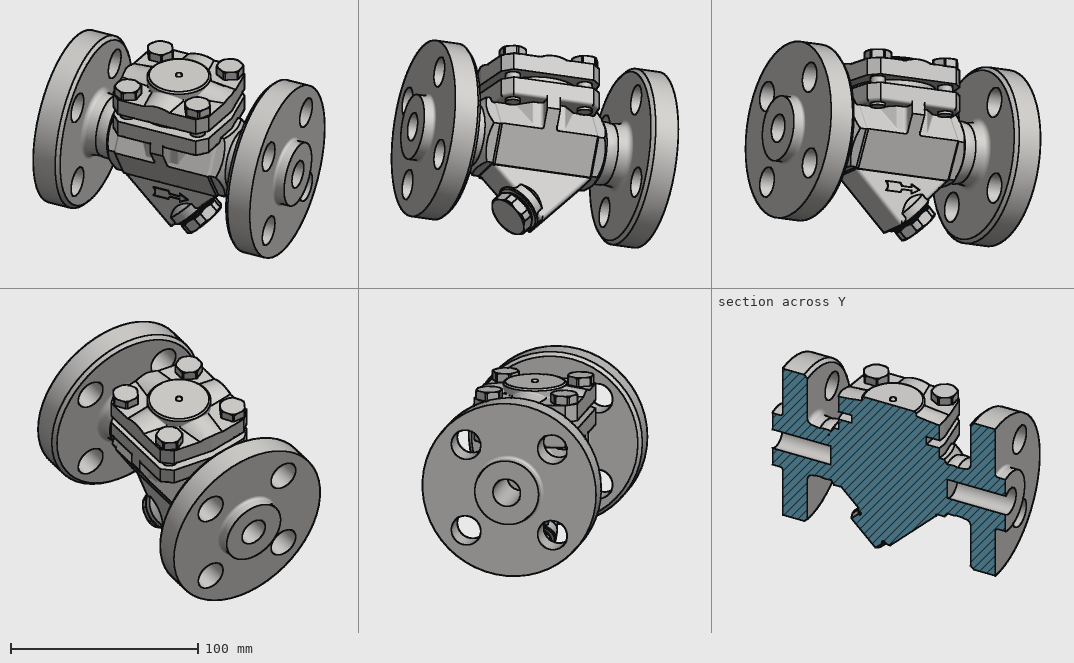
import cadquery as cq
import math


length = 140.0
flange_d = 95.0
flange_back_x = 48.8
flange_front_x = 63.8
flange_chamfer = 2.0
raised_face_d = 34.9
raised_face_fillet = 1.6
bore_d = 15.0
bore_depth = 35.0
flange_hole_d = 16.0
flange_hole_pitch = 47.2

neck_r = 17.0
neck_fillet = 3.0
neck_groove_x = 41.4
neck_groove_r = 16.4
neck_weld_x = 38.3

hex_end_x = 34.9
hex_flats = 37.0
hex_end_r = 16.5
hex_bevel_x = 31.7
centre_x = 28.2
centre_flats = 38.8
centre_chamfer = 0.9

wedge_half_y = 10.4
wedge_inlet_reach = 47.8
wedge_drain_reach = 47.1
wedge_depth = 47.0
wedge_fillet = 2.0

plug_offset = -20.2
boss_d = 27.0
boss_cone_start = 23.0
boss_start = 28.7
boss_end = 34.4
boss_chamfer = 0.7
plug_head_start = 35.7
plug_head_end = 42.04
plug_neck_d = 21.0
plug_head_flats = 22.6
plug_head_d = 24.0
plug_head_chamfer = 0.7

plate_half_x = 31.0
plate_end_x = 28.1
plate_half_y = 28.2
corner_cut_x = 22.9
corner_cut_y = 22.7
seat_bottom_z = 15.1
seat_top_z = 24.9
cover_bottom_z = 29.5
cover_top_z = 38.7
seat_fillet = 1.6
gasket_d = 45.8

ridge_inner_r = 12.0
ridge_inner_half_width = 9.8
ridge_inner_height = 4.0
ridge_outer_r = 32.0
ridge_outer_half_width = 7.0
ridge_outer_height = 1.1
ridge_root = 1.0
cap_d = 34.0
cap_top_z = 43.9
cap_chamfer = 1.0
cap_base_fillet = 0.6
knob_d = 3.4
knob_height = 1.0
knob_fillet = 0.9

bolt_d = 8.0
bolt_pitch_half = 20.5
bolt_head_flats = 13.0
bolt_head_d = 14.5
bolt_head_top_z = 43.5
bolt_head_chamfer = 0.5
bolt_tip_z = 13.6

rib_half_width = 3.7
rib_fillet = 1.9
web_half_x = 9.2
web_half_y = 21.2
web_top_z = 18.0
web_corner_fillet = 1.2
web_base_fillet = 1.2

arrow_tail_x = -10.2
arrow_notch_x = -9.0
arrow_shaft_x = -1.3
arrow_step_x = -0.4
arrow_head_x = 5.4
arrow_tip_x = 10.2
arrow_z = -26.5
arrow_half_height = 2.6
arrow_shaft_half_height = 0.9
arrow_height = 0.5

SQRT3 = math.sqrt(3)
SELECT_MARGIN = 0.1


def across_corners(flats):
    return 2 * flats / SQRT3


def hex_bar(flats, half_length):
    """Hexagonal bar along X with corners on +Y and -Y."""
    return (
        cq.Workplane("YZ", origin=(-half_length, 0, 0))
        .polygon(6, across_corners(flats))
        .extrude(2 * half_length)
    )


def flange_and_neck():
    """Flange, raised face and neck on the +X side, turned about X."""
    raised_r = raised_face_d / 2
    flange_r = flange_d / 2
    neck_start_x = flange_back_x - neck_fillet
    bulge = 1 - math.sqrt(0.5)
    profile = (
        cq.Workplane("XY")
        .moveTo(0, 0)
        .lineTo(0, hex_end_r)
        .lineTo(hex_end_x, hex_end_r)
        .threePointArc((neck_weld_x, neck_r), (neck_groove_x, neck_groove_r))
        .lineTo(neck_start_x, neck_r)
        .threePointArc(
            (flange_back_x - neck_fillet * bulge, neck_r + neck_fillet * bulge),
            (flange_back_x, neck_r + neck_fillet),
        )
        .lineTo(flange_back_x, flange_r - flange_chamfer)
        .lineTo(flange_back_x + flange_chamfer, flange_r)
        .lineTo(flange_front_x, flange_r)
        .lineTo(flange_front_x, raised_r + raised_face_fillet)
        .threePointArc(
            (flange_front_x + raised_face_fillet * bulge, raised_r + raised_face_fillet * bulge),
            (flange_front_x + raised_face_fillet, raised_r),
        )
        .lineTo(length / 2, raised_r)
        .lineTo(length / 2, 0)
        .close()
    )
    end = profile.revolve(360, (0, 0, 0), (1, 0, 0))
    holes = (
        cq.Workplane("YZ", origin=(flange_back_x, 0, 0))
        .rect(flange_hole_pitch, flange_hole_pitch, forConstruction=True)
        .vertices()
        .circle(flange_hole_d / 2)
        .extrude(length)
    )
    bore = (
        cq.Workplane("YZ", origin=(length / 2 - bore_depth, 0, 0))
        .circle(bore_d / 2)
        .extrude(bore_depth)
    )
    return end.cut(holes).cut(bore)


def hex_body():
    corner_r = across_corners(hex_flats) / 2
    bevel_slope = (corner_r - hex_end_r) / (hex_end_x - hex_bevel_x)
    envelope_r = hex_end_r + bevel_slope * hex_end_x
    half_envelope = (
        cq.Workplane("XY")
        .polyline([(0, 0), (0, envelope_r), (hex_end_x, hex_end_r), (hex_end_x, 0)])
        .close()
        .revolve(360, (0, 0, 0), (1, 0, 0))
    )
    envelope = half_envelope.union(half_envelope.mirror("YZ"))
    outer = hex_bar(hex_flats, hex_end_x).intersect(envelope)
    centre = hex_bar(centre_flats, centre_x).faces("<X or >X").chamfer(centre_chamfer)
    return outer.union(centre)


def rounded_slab(reach, tilt):
    """Slab tilted about Y, its lower face with rounded long edges."""
    slab_length = 4 * wedge_depth
    slab_height = math.sqrt(2) * reach
    return (
        cq.Workplane("XY")
        .box(slab_length, 2 * wedge_half_y, slab_height)
        .faces("<Z")
        .edges("|X")
        .fillet(wedge_fillet)
        .rotate((0, 0, 0), (0, 1, 0), tilt)
    )


def wedge():
    limits = (
        cq.Workplane("XY")
        .box(2 * centre_x, 2 * wedge_half_y, wedge_depth, centered=(True, True, False))
        .translate((0, 0, -wedge_depth))
    )
    inlet_side = rounded_slab(wedge_inlet_reach, 45)
    drain_side = rounded_slab(wedge_drain_reach, -45)
    return limits.intersect(inlet_side).intersect(drain_side)


def plug_plane(distance):
    """Plane across the plug axis at a distance along it, measured from the pipe axis."""
    root = math.sqrt(0.5)
    origin = (root * (plug_offset + distance), 0, root * (plug_offset - distance))
    return cq.Plane(origin=origin, xDir=(1, 0, 1), normal=(1, 0, -1))


def drain_plug():
    cone_r = boss_d / 2 - (boss_start - boss_cone_start)
    boss_cone = (
        cq.Workplane(plug_plane(boss_cone_start))
        .circle(cone_r)
        .workplane(offset=boss_start - boss_cone_start)
        .circle(boss_d / 2)
        .loft()
    )
    boss = cq.Workplane(plug_plane(boss_start)).circle(boss_d / 2).extrude(boss_end - boss_start)
    outward = cq.selectors.DirectionMinMaxSelector(cq.Vector(1, 0, -1))
    boss = boss.faces(outward).chamfer(boss_chamfer)
    neck = (
        cq.Workplane(plug_plane(boss_start))
        .circle(plug_neck_d / 2)
        .extrude(plug_head_end - boss_start)
    )
    head_height = plug_head_end - plug_head_start
    head_blank = (
        cq.Workplane(plug_plane(plug_head_start))
        .circle(plug_head_d / 2)
        .extrude(head_height)
        .edges()
        .chamfer(plug_head_chamfer)
    )
    head = (
        cq.Workplane(plug_plane(plug_head_start))
        .polygon(6, across_corners(plug_head_flats))
        .extrude(head_height)
        .intersect(head_blank)
    )
    return boss_cone.union(boss).union(neck).union(head)


def plate(bottom_z, top_z):
    """Plate with cut corners and slightly pointed ends."""
    quarter = [(corner_cut_x, plate_half_y), (plate_end_x, corner_cut_y)]
    right_side = quarter + [(plate_half_x, 0)] + [(x, -y) for x, y in reversed(quarter)]
    left_side = [(-x, -y) for x, y in right_side]
    return (
        cq.Workplane("XY", origin=(0, 0, bottom_z))
        .polyline(right_side + left_side)
        .close()
        .extrude(top_z - bottom_z)
    )


def seat():
    """Body-side plate of the cover joint, with the gasket ring on top."""
    body_plate = plate(seat_bottom_z, seat_top_z).faces("<Z").edges().fillet(seat_fillet)
    gasket = (
        cq.Workplane("XY", origin=(0, 0, seat_top_z))
        .circle(gasket_d / 2)
        .extrude(cover_bottom_z - seat_top_z)
    )
    return body_plate.union(gasket)


def ridge_section(distance, half_width, height):
    """Arched ridge section standing across the Y axis."""
    plane = cq.Plane(origin=(0, distance, cover_top_z), xDir=(1, 0, 0), normal=(0, -1, 0))
    section = (
        cq.Workplane(plane)
        .moveTo(-half_width, -ridge_root)
        .lineTo(-half_width, 0)
        .threePointArc((0, height), (half_width, 0))
        .lineTo(half_width, -ridge_root)
        .close()
    )
    return section.val()


def cover():
    body = plate(cover_bottom_z, cover_top_z)
    sections = [
        ridge_section(ridge_inner_r, ridge_inner_half_width, ridge_inner_height),
        ridge_section(ridge_outer_r, ridge_outer_half_width, ridge_outer_height),
    ]
    ridge = cq.Workplane(cq.Solid.makeLoft(sections, True))
    outline = plate(cover_bottom_z, cap_top_z)
    for angle in (0, 90, 180, 270):
        turned_ridge = ridge.rotate((0, 0, 0), (0, 0, 1), angle)
        body = body.union(turned_ridge.intersect(outline))
    cap = (
        cq.Workplane("XY", origin=(0, 0, cover_bottom_z))
        .circle(cap_d / 2)
        .extrude(cap_top_z - cover_bottom_z)
        .faces(">Z")
        .chamfer(cap_chamfer)
    )
    knob = (
        cq.Workplane("XY", origin=(0, 0, cap_top_z))
        .circle(knob_d / 2)
        .extrude(knob_height)
        .faces(">Z")
        .fillet(knob_fillet)
    )
    cap_base = cq.selectors.BoxSelector(
        (-cap_d / 2, -cap_d / 2, cover_top_z - SELECT_MARGIN),
        (cap_d / 2, cap_d / 2, cap_top_z - cap_chamfer - SELECT_MARGIN),
    )
    body = body.union(cap).edges(cap_base).fillet(cap_base_fillet)
    return body.union(knob)


def cover_bolt(x, y):
    shank = (
        cq.Workplane("XY", origin=(x, y, bolt_tip_z))
        .circle(bolt_d / 2)
        .extrude(cover_top_z - bolt_tip_z)
    )
    head_height = bolt_head_top_z - cover_top_z
    turned = (
        cq.Workplane("XY", origin=(x, y, cover_top_z))
        .circle(bolt_head_d / 2)
        .extrude(head_height)
        .faces(">Z")
        .chamfer(bolt_head_chamfer)
    )
    turn = 90 if x * y > 0 else 0
    head = (
        cq.Workplane("XY", origin=(x, y, cover_top_z))
        .transformed(rotate=(0, 0, turn))
        .polygon(6, across_corners(bolt_head_flats))
        .extrude(head_height)
        .intersect(turned)
    )
    return shank.union(head)


def seat_supports():
    """Ribs and angled webs carrying the seat on both long sides of the body."""
    corner_y = across_corners(centre_flats) / 2
    web_end_x = web_half_x + web_half_y - corner_y / 2
    right_side = [
        (web_half_x, -web_half_y),
        (web_end_x, -corner_y / 2),
        (web_end_x, corner_y / 2),
        (web_half_x, web_half_y),
    ]
    left_side = [(-x, -y) for x, y in right_side]
    web = (
        cq.Workplane("XY")
        .polyline(right_side + left_side)
        .close()
        .extrude(web_top_z)
        .edges("|Z")
        .fillet(web_corner_fillet)
    )
    rib = cq.Workplane("XY").rect(2 * rib_half_width, 2 * plate_half_y).extrude(web_top_z)
    corner_region = cq.selectors.BoxSelector(
        (-rib_half_width - SELECT_MARGIN, -web_half_y - SELECT_MARGIN, 0),
        (rib_half_width + SELECT_MARGIN, web_half_y + SELECT_MARGIN, web_top_z),
    )
    supports = web.union(rib).edges("|Z").edges(corner_region).fillet(rib_fillet)
    flare_y = corner_y + web_top_z / SQRT3
    under_limit = (
        cq.Workplane("YZ", origin=(-web_end_x, 0, 0))
        .polyline([(-corner_y, 0), (corner_y, 0), (flare_y, web_top_z), (-flare_y, web_top_z)])
        .close()
        .extrude(2 * web_end_x)
    )
    return supports.intersect(under_limit)


def round_web_bases(body):
    """Fillet the slanted seams between the webs and the upper flats of the hexagon."""
    corner_y = across_corners(centre_flats) / 2
    for side_x in (-1, 1):
        for side_y in (-1, 1):
            seams = cq.selectors.BoxSelector(
                (side_x * web_half_x, side_y * corner_y / 2, 0),
                (side_x * (web_half_x + web_half_y), side_y * web_half_y, web_top_z - SELECT_MARGIN),
            )
            body = body.edges(seams).fillet(web_base_fillet)
    return body


def flow_arrow():
    return (
        cq.Workplane("XZ", origin=(0, -wedge_half_y, arrow_z))
        .moveTo(arrow_tail_x, arrow_half_height)
        .lineTo(arrow_shaft_x, arrow_half_height)
        .lineTo(arrow_step_x, arrow_shaft_half_height)
        .lineTo(arrow_head_x, arrow_shaft_half_height)
        .lineTo(arrow_head_x, arrow_half_height)
        .lineTo(arrow_tip_x, 0)
        .lineTo(arrow_head_x, -arrow_half_height)
        .lineTo(arrow_head_x, -arrow_shaft_half_height)
        .lineTo(arrow_step_x, -arrow_shaft_half_height)
        .lineTo(arrow_shaft_x, -arrow_half_height)
        .lineTo(arrow_tail_x, -arrow_half_height)
        .threePointArc((arrow_notch_x, 0), (arrow_tail_x, arrow_half_height))
        .close()
        .extrude(arrow_height)
    )


end = flange_and_neck()
result = round_web_bases(hex_body().union(seat_supports()))
result = result.union(wedge()).union(seat())
result = result.union(drain_plug()).union(flow_arrow()).union(cover())
for bolt_x in (-bolt_pitch_half, bolt_pitch_half):
    for bolt_y in (-bolt_pitch_half, bolt_pitch_half):
        result = result.union(cover_bolt(bolt_x, bolt_y))
result = result.union(end).union(end.mirror("YZ"))